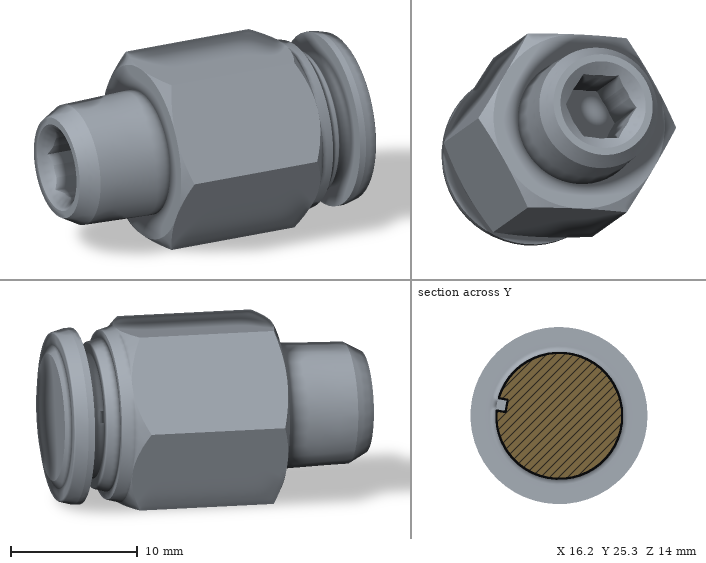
import cadquery as cq
import math


hex_across_flats = 14.0
hex_across_corners = hex_across_flats / math.cos(math.radians(30))
flat_radius = hex_across_flats / 2
corner_radius = hex_across_corners / 2
hex_start = 7.5
hex_end = 20.05
front_chamfer_angle = 30.0
rear_chamfer_angle = 45.0

spigot_base_radius = 5.03
spigot_taper = 1 / 32
spigot_lead_length = 1.45
spigot_tip_radius = 4.05
spigot_shoulder_radius = spigot_base_radius - spigot_taper * (hex_start - spigot_lead_length)

draft_angle = 15.0
large_collar_end = 21.05
small_collar_base_radius = 6.1
small_collar_end = 22.1
rim_fillet = 0.15

neck_radius = 5.0
neck_fillet = 0.45
flange_start = 23.3
flange_straight_end = 23.83
flange_end = 24.9
flange_radius = flat_radius
nose_base_radius = 5.7
nose_tip_radius = 5.05
total_length = 25.3

slot_width = 0.95
slot_depth = 0.75
slot_length = 0.28
slot_angle = 10.6

socket_across_flats = 5.0
socket_across_corners = socket_across_flats / math.cos(math.radians(30))
socket_pilot_diameter = 5.1
socket_depth = hex_start
socket_mouth_radius = 3.48
countersink_depth = socket_mouth_radius - socket_across_flats / 2


def along_y(start):
    """Workplane at Y = start whose extrusions run toward +Y, with local X along +X."""
    return cq.Workplane(cq.Plane(origin=(0, start, 0), xDir=(1, 0, 0), normal=(0, 1, 0)))


def revolve_about_y(profile):
    """Close a half profile drawn as (radius, Y) and turn it about the Y axis."""
    return profile.close().revolve(360, (0, 0, 0), (0, 1, 0))


def hexagon_body():
    """Hexagonal prism with both ends turned down to the inscribed circle."""
    prism = along_y(hex_start).polygon(6, hex_across_corners).extrude(hex_end - hex_start)
    corner_height = corner_radius - flat_radius
    front_chamfer = corner_height * math.tan(math.radians(front_chamfer_angle))
    rear_chamfer = corner_height * math.tan(math.radians(rear_chamfer_angle))
    envelope = revolve_about_y(
        cq.Workplane("XY")
        .moveTo(0, hex_start)
        .lineTo(flat_radius, hex_start)
        .lineTo(corner_radius, hex_start + front_chamfer)
        .lineTo(corner_radius, hex_end - rear_chamfer)
        .lineTo(flat_radius, hex_end)
        .lineTo(0, hex_end)
    )
    return prism.intersect(envelope)


def spigot():
    """Tapered spigot with a steeper lead-in cone at its free end."""
    return revolve_about_y(
        cq.Workplane("XY")
        .lineTo(spigot_tip_radius, 0)
        .lineTo(spigot_shoulder_radius, spigot_lead_length)
        .lineTo(spigot_base_radius, hex_start)
        .lineTo(0, hex_start)
    )


def drafted_disk(base_radius, start, end):
    """Disk from Y = start to Y = end that narrows toward +Y."""
    top_radius = base_radius - (end - start) * math.tan(math.radians(draft_angle))
    return revolve_about_y(
        cq.Workplane("XY")
        .moveTo(0, start)
        .lineTo(base_radius, start)
        .lineTo(top_radius, end)
        .lineTo(0, end)
    )


def round_rim(disk):
    """Round the edge of the disk's +Y end."""
    return disk.faces(">Y").edges().fillet(rim_fillet)


def collars():
    """Two stepped, drafted collars on the rear of the hexagon."""
    large_collar = drafted_disk(flat_radius, hex_end, large_collar_end)
    small_collar = drafted_disk(small_collar_base_radius, large_collar_end, small_collar_end)
    return large_collar.union(round_rim(small_collar))


def release_button():
    """Neck, flange and conical nose of the push-to-release sleeve."""
    neck_and_flange = revolve_about_y(
        cq.Workplane("XY")
        .moveTo(0, small_collar_end)
        .lineTo(neck_radius, small_collar_end)
        .lineTo(neck_radius, flange_start - neck_fillet)
        .radiusArc((neck_radius + neck_fillet, flange_start), neck_fillet)
        .lineTo(flange_radius, flange_start)
        .lineTo(flange_radius, flange_straight_end)
        .lineTo(0, flange_straight_end)
    )
    flange_rim = round_rim(drafted_disk(flange_radius, flange_straight_end, flange_end))
    nose = revolve_about_y(
        cq.Workplane("XY")
        .moveTo(0, flange_end)
        .lineTo(nose_base_radius, flange_end)
        .lineTo(nose_tip_radius, total_length)
        .lineTo(0, total_length)
    )
    return neck_and_flange.union(flange_rim).union(nose)


def release_slot():
    """Shallow notch in the neck surface beside the small collar, turned about the Y axis."""
    return (
        cq.Workplane("XY")
        .box(2 * slot_depth, slot_length, slot_width, centered=(True, False, True))
        .translate((-neck_radius, small_collar_end, 0))
        .rotate((0, 0, 0), (0, 1, 0), slot_angle)
    )


def hexagon_socket():
    """Blind hexagon with a pilot bore grazing its flats and a countersunk mouth."""
    hexagon = along_y(0).polygon(6, socket_across_corners).extrude(socket_depth)
    pilot = along_y(0).circle(socket_pilot_diameter / 2).extrude(socket_depth)
    countersink = revolve_about_y(
        cq.Workplane("XY")
        .lineTo(socket_mouth_radius, 0)
        .lineTo(socket_across_flats / 2, countersink_depth)
        .lineTo(0, countersink_depth)
    )
    return hexagon.union(pilot).union(countersink)


result = (
    hexagon_body()
    .union(spigot())
    .union(collars())
    .union(release_button())
    .cut(release_slot())
    .cut(hexagon_socket())
)